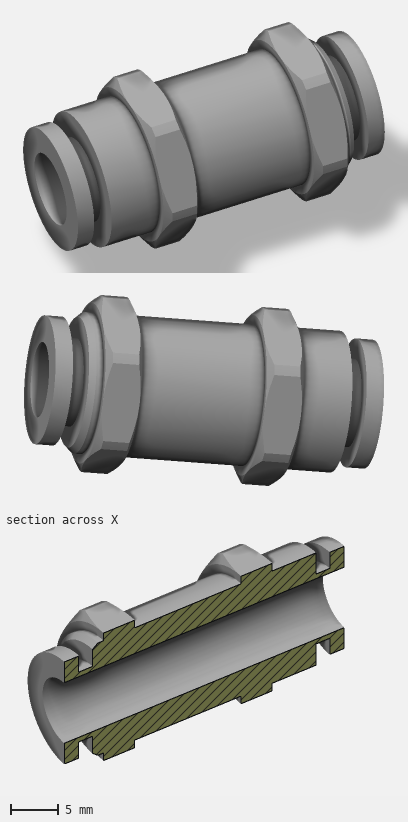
import cadquery as cq
import math

length = 35.7
half_length = length / 2
collar_width = 1.9
neck_width = 1.7
body_start = -half_length + collar_width + neck_width
body_end = -body_start

bore_diameter = 8.0
neck_diameter = 9.35
collar_diameter = 13.65
body_diameter = 15.0

body_chamfer_length = 0.68
body_chamfer_depth = 0.57

hex_width = 4.0
across_flats = 17.0
across_corners = 19.0
hex_chamfer_angle = 30.0
front_hex_start = -8.68
rear_hex_start = 8.85


def cylinder(diameter, start, end):
    """Cylinder along +Y between two Y positions."""
    plane = cq.Workplane("XZ", origin=(0, start, 0))
    return plane.circle(diameter / 2).extrude(-(end - start))


def chamfered_hexagon(start):
    """Hexagon along +Y with turned corners and conical chamfers on both ends."""
    end = start + hex_width
    sharp_corners = across_flats / math.cos(math.radians(30))
    flats_radius = across_flats / 2
    corner_radius = across_corners / 2
    chamfer = (corner_radius - flats_radius) * math.tan(math.radians(hex_chamfer_angle))
    prism = cq.Workplane("XZ", origin=(0, start, 0)).polygon(6, sharp_corners).extrude(-hex_width)
    turned_envelope = (
        cq.Workplane("XY")
        .polyline([
            (0, start),
            (flats_radius, start),
            (corner_radius, start + chamfer),
            (corner_radius, end - chamfer),
            (flats_radius, end),
            (0, end),
        ])
        .close()
        .revolve(360, (0, 0, 0), (0, 1, 0))
    )
    return prism.intersect(turned_envelope)


body = (
    cylinder(body_diameter, body_start, body_end)
    .faces(">Y")
    .chamfer(body_chamfer_length, body_chamfer_depth)
)

neck = cylinder(neck_diameter, -half_length, half_length)
front_collar = cylinder(collar_diameter, -half_length, -half_length + collar_width)
rear_collar = cylinder(collar_diameter, half_length - collar_width, half_length)

solid = body.union(neck).union(front_collar).union(rear_collar)
for hex_start in (front_hex_start, rear_hex_start):
    solid = solid.union(chamfered_hexagon(hex_start))

result = solid.cut(cylinder(bore_diameter, -half_length, half_length))